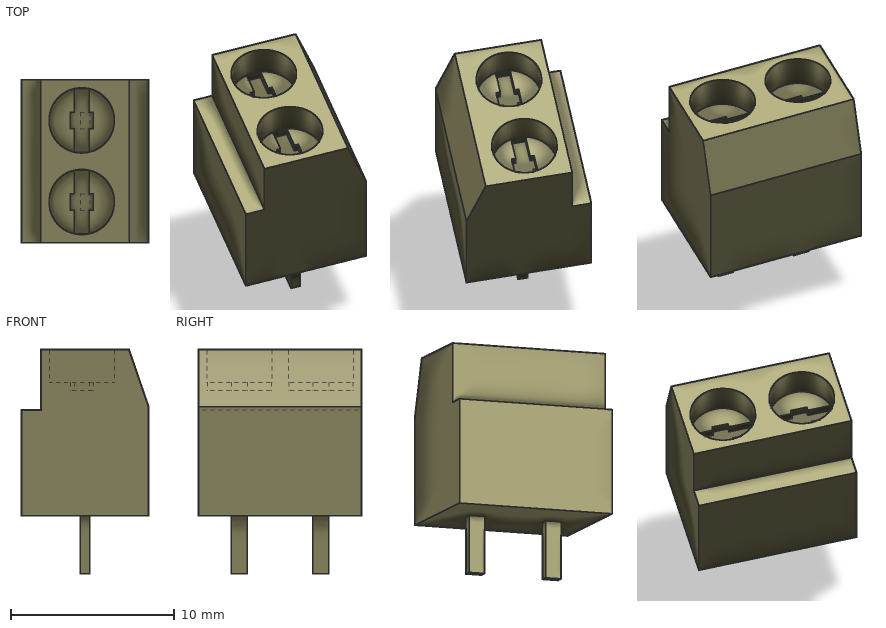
import cadquery as cq


pole_count = 2
pole_pitch = 5.0
body_depth = 7.8
body_width = pole_count * pole_pitch
overall_height = 13.75
pin_length = 3.55
body_height = overall_height - pin_length
ledge_depth = 1.2
ledge_height = 6.5
slope_depth = 1.2
slope_start_height = 6.7

well_diameter = 4.0
well_depth = 2.0
well_x = 3.7
slot_width = 0.9
slot_length = 3.9
slot_depth = 0.5
slot_center_width = 1.4
slot_center_length = 1.0

pin_thickness = 0.6
pin_width = 1.0
pin_x = body_depth / 2

pole_positions = [(i + 0.5) * pole_pitch for i in range(pole_count)]
well_floor = body_height - well_depth


def make_housing():
    """Extrude the stepped and sloped side profile along Y."""
    profile = [
        (0, 0),
        (body_depth, 0),
        (body_depth, slope_start_height),
        (body_depth - slope_depth, body_height),
        (ledge_depth, body_height),
        (ledge_depth, ledge_height),
        (0, ledge_height),
    ]
    return cq.Workplane("XZ").polyline(profile).close().extrude(-body_width)


def make_screw_recess(y):
    """Round well plus the straight slot and wider centre cut into its floor."""
    floor = cq.Workplane("XY", origin=(well_x, y, well_floor))
    well = floor.circle(well_diameter / 2).extrude(well_depth)
    slot = floor.rect(slot_width, slot_length).extrude(-slot_depth)
    slot_center = floor.rect(slot_center_width, slot_center_length).extrude(-slot_depth)
    return well.union(slot).union(slot_center)


def make_pin(y):
    """Flat solder pin hanging from the underside of the housing."""
    base = cq.Workplane("XY", origin=(pin_x, y, 0))
    return base.rect(pin_thickness, pin_width).extrude(-pin_length)


result = make_housing()
for pole_y in pole_positions:
    result = result.cut(make_screw_recess(pole_y))
    result = result.union(make_pin(pole_y))